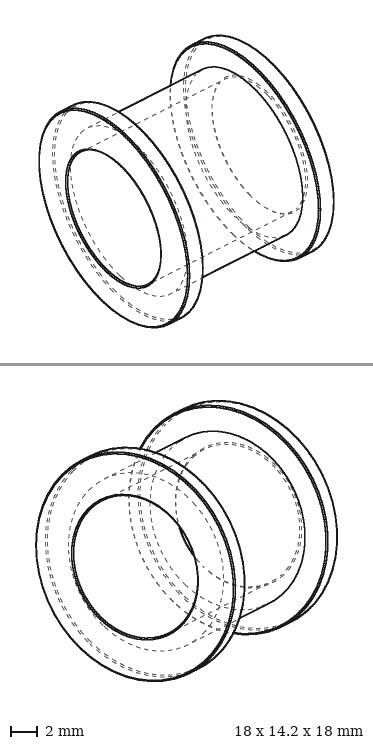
import cadquery as cq

flange_diameter = 18.0
barrel_diameter = 14.0
bore_diameter = 11.2
length = 14.2
flange_thickness = 1.5
edge_chamfer = 0.1


def cylinder(diameter, start, height):
    """Solid cylinder along +Y, beginning at the given Y position."""
    plane = cq.Workplane("XZ", origin=(0, start, 0))
    return plane.circle(diameter / 2).extrude(-height)


def flange(start):
    """Flange disc with both rim edges chamfered."""
    return cylinder(flange_diameter, start, flange_thickness).edges().chamfer(edge_chamfer)


front_end = -length / 2
back_end = length / 2
body = cylinder(barrel_diameter, front_end, length)
for flange_start in (front_end, back_end - flange_thickness):
    body = body.union(flange(flange_start))

bore = cylinder(bore_diameter, front_end, length)
mouth_diameter = bore_diameter + 2 * edge_chamfer
for end, inward in ((front_end, 1), (back_end, -1)):
    mouth = (
        cq.Workplane("XZ", origin=(0, end, 0))
        .circle(mouth_diameter / 2)
        .workplane(offset=-inward * edge_chamfer)
        .circle(bore_diameter / 2)
        .loft()
    )
    bore = bore.union(mouth)

result = body.cut(bore)